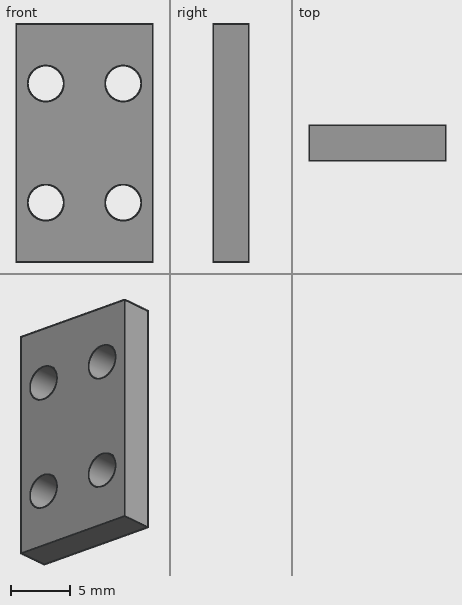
import cadquery as cq

width = 11.5
thickness = 3.0
height = 20.0

hole_diameter = 3.0
hole_spacing_x = 6.5
hole_spacing_z = height / 2

plate = cq.Workplane("XY").box(width, thickness, height)

result = (
    plate.faces("<Y")
    .workplane(centerOption="CenterOfBoundBox")
    .rect(hole_spacing_x, hole_spacing_z, forConstruction=True)
    .vertices()
    .hole(hole_diameter)
)